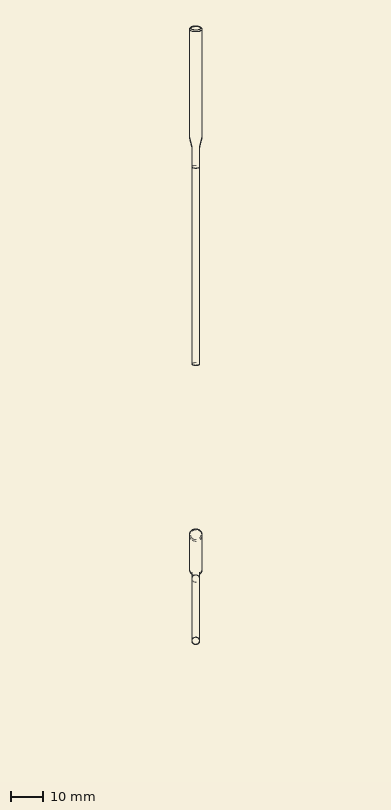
import cadquery as cq
import math

overall_length = 113.0
shank_diameter = 4.0
shank_length = 36.5
shank_chamfer = 0.4
cutting_diameter = 2.38
cutting_length = 66.5
neck_length = 6.5
point_angle = 140.0

shank_radius = shank_diameter / 2
cutting_radius = cutting_diameter / 2
point_height = cutting_radius / math.tan(math.radians(point_angle / 2))
shank_bottom = overall_length - shank_length
cone_bottom = cutting_length + neck_length


def make_cutting_part():
    """Plain cylinder ending in a conical drill point."""
    profile = (
        cq.Workplane("XZ")
        .moveTo(0, 0)
        .lineTo(cutting_radius, point_height)
        .lineTo(cutting_radius, cutting_length)
        .lineTo(0, cutting_length)
        .close()
    )
    return profile.revolve(360, (0, 0, 0), (0, 1, 0))


def make_shank():
    """Neck, conical transition and clamping shank with a chamfered top edge."""
    profile = (
        cq.Workplane("XZ")
        .moveTo(0, cutting_length)
        .lineTo(cutting_radius, cutting_length)
        .lineTo(cutting_radius, cone_bottom)
        .lineTo(shank_radius, shank_bottom)
        .lineTo(shank_radius, overall_length - shank_chamfer)
        .lineTo(shank_radius - shank_chamfer, overall_length)
        .lineTo(0, overall_length)
        .close()
    )
    return profile.revolve(360, (0, 0, 0), (0, 1, 0))


cutting_part = make_cutting_part()
shank = make_shank()

result = cq.Compound.makeCompound([cutting_part.val(), shank.val()])